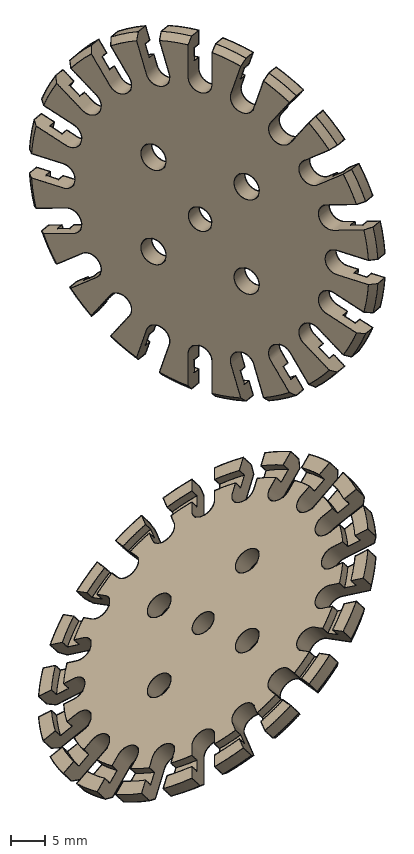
import cadquery as cq

thickness = 3.0
outer_radius = 30.0
rim_chamfer = 1.0

slot_count = 20
slot_width = 4.1
slot_bottom_radius = 21.5
slot_corner_radius = 2.0

groove_inner_radius = 25.45
groove_outer_radius = 27.65
groove_depth = 1.25

center_hole_diameter = 4.0
mount_hole_diameter = 4.3
mount_hole_spacing = 16.0

back_y = thickness / 2


def back_plane():
    """Sketch plane on the back face; local x is X, local y is Z, extrusions go toward the front."""
    return cq.Workplane("XZ", origin=(0, back_y, 0))


def make_disc():
    disc = back_plane().circle(outer_radius).extrude(thickness)
    return disc.faces("<Y").edges().chamfer(rim_chamfer)


def make_slot_cutter():
    """Slot along +X with a filleted inner end, running out past the rim."""
    length = outer_radius + slot_width - slot_bottom_radius
    slot = (
        back_plane()
        .center(slot_bottom_radius + length / 2, 0)
        .rect(length, slot_width)
        .extrude(thickness)
    )
    return slot.faces("<X").edges("|Y").fillet(slot_corner_radius)


def cut_slots(body):
    cutter = make_slot_cutter()
    pitch_angle = 360 / slot_count
    for index in range(slot_count):
        body = body.cut(cutter.rotate((0, 0, 0), (0, 1, 0), index * pitch_angle))
    return body


def cut_groove(body):
    ring = (
        back_plane()
        .circle(groove_outer_radius)
        .circle(groove_inner_radius)
        .extrude(groove_depth)
    )
    return body.cut(ring)


def cut_holes(body):
    center_hole = back_plane().circle(center_hole_diameter / 2).extrude(thickness)
    mount_holes = (
        back_plane()
        .rect(mount_hole_spacing, mount_hole_spacing, forConstruction=True)
        .vertices()
        .circle(mount_hole_diameter / 2)
        .extrude(thickness)
    )
    return body.cut(center_hole).cut(mount_holes)


result = cut_holes(cut_groove(cut_slots(make_disc())))